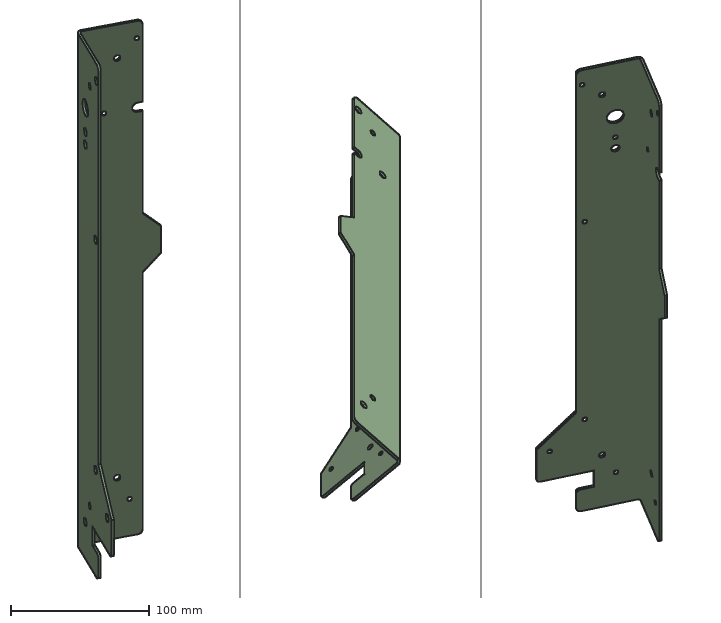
import cadquery as cq

height = 446.0
leg_width = 50.0
front_reach = 80.0
side_reach = 64.0
thickness = 2.0
bend_outer_radius = 4.0
bend_inner_radius = bend_outer_radius - thickness

leg_corner_radius = 4.0
hook_corner_radius = 3.0
flag_corner_radius = 3.0

flag_bottom = 38.5
flag_top = 71.5
flag_slope = 29.5
notch_bottom = 22.0
notch_floor = 36.5

tab_center = 252.5
tab_half_width = 11.5
tab_slope = side_reach - leg_width

slot_width = 8.0
slot_end = 42.0
slot_height = 371.0

pilot_diameter = 4.92
pilot_holes = [(30.5, 417.0), (30.5, 52.5)]
cable_diameter = 13.0
cable_hole = (20.5, 392.0)
fixing_diameter = 6.3
fixing_hole = (20.5, 360.0)

screw_diameter = 3.4
sink_diameter = 6.3
sink_depth = (sink_diameter - screw_diameter) / 2
shared_screws = [(45.5, 431.0), (20.5, 371.0)]
front_screws = shared_screws + [(43.5, 292.0), (43.5, 92.0), (70.0, 67.0), (20.0, 32.0)]
side_screws = shared_screws + [(40.0, 32.0)]


def round_corners(body, direction, corners):
    """Fillet the edges along the given direction that lie nearest to the listed points."""
    for point, radius in corners:
        nearest = cq.selectors.NearestToPointSelector(point)
        body = body.edges(direction).edges(nearest).fillet(radius)
    return body


def bent_sheet():
    """Plain L section with a rounded bend, the full height of the part."""

    def block(bend_radius):
        body = cq.Workplane("XY").rect(front_reach, side_reach, centered=False).extrude(height)
        return body.edges("|Z and <X and <Y").fillet(bend_radius)

    inside = block(bend_inner_radius).translate((thickness, thickness, 0))
    return block(bend_outer_radius).cut(inside)


def front_profile():
    """Outline of the front leg as a block through the full Y reach."""
    outline = [
        (0, 0),
        (leg_width, 0),
        (leg_width, notch_bottom),
        (notch_floor, notch_bottom),
        (notch_floor, flag_bottom),
        (front_reach, flag_bottom),
        (front_reach, flag_top),
        (leg_width, flag_top + flag_slope),
        (leg_width, height),
        (0, height),
    ]
    body = cq.Workplane("XZ").polyline(outline).close().extrude(-side_reach)
    middle = side_reach / 2
    corners = [
        ((leg_width, middle, 0), leg_corner_radius),
        ((leg_width, middle, notch_bottom), hook_corner_radius),
        ((front_reach, middle, flag_bottom), flag_corner_radius),
        ((leg_width, middle, height), leg_corner_radius),
    ]
    return round_corners(body, "|Y", corners)


def side_profile():
    """Outline of the side leg as a block through the full X reach."""
    tab_half_base = tab_half_width + tab_slope
    outline = [
        (0, 0),
        (leg_width, 0),
        (leg_width, tab_center - tab_half_base),
        (side_reach, tab_center - tab_half_width),
        (side_reach, tab_center + tab_half_width),
        (leg_width, tab_center + tab_half_base),
        (leg_width, height),
        (0, height),
    ]
    body = cq.Workplane("YZ").polyline(outline).close().extrude(front_reach)
    middle = front_reach / 2
    corners = [
        ((middle, leg_width, 0), leg_corner_radius),
        ((middle, leg_width, height), leg_corner_radius),
    ]
    return round_corners(body, "|X", corners)


def edge_slot():
    """Cutter for the open slot, centred on the edge so that half of it lies outside."""
    slot_length = 2 * (leg_width - slot_end)
    sketch = cq.Workplane("YZ").center(leg_width, slot_height)
    return sketch.slot2D(slot_length, slot_width).extrude(thickness)


def drills(plane, inward, points, diameter):
    """Cylinders through one leg; inward is the sign of the plane normal that enters the metal."""
    sketch = cq.Workplane(plane).pushPoints(points)
    return sketch.circle(diameter / 2).extrude(inward * thickness)


def screw_drills(plane, inward, points):
    """Through bores joined with the cones of their countersinks."""
    cutter = drills(plane, inward, points, screw_diameter)
    for across, up in points:
        mouth = cq.Workplane(plane).center(across, up).circle(sink_diameter / 2)
        throat = mouth.workplane(offset=inward * sink_depth).circle(screw_diameter / 2)
        cutter = cutter.union(throat.loft())
    return cutter


result = bent_sheet().intersect(front_profile()).intersect(side_profile())
result = result.cut(edge_slot())

for plane, inward, screws in (("XZ", -1, front_screws), ("YZ", 1, side_screws)):
    result = result.cut(drills(plane, inward, pilot_holes, pilot_diameter))
    result = result.cut(screw_drills(plane, inward, screws))

result = result.cut(drills("XZ", -1, [cable_hole], cable_diameter))
result = result.cut(drills("XZ", -1, [fixing_hole], fixing_diameter))